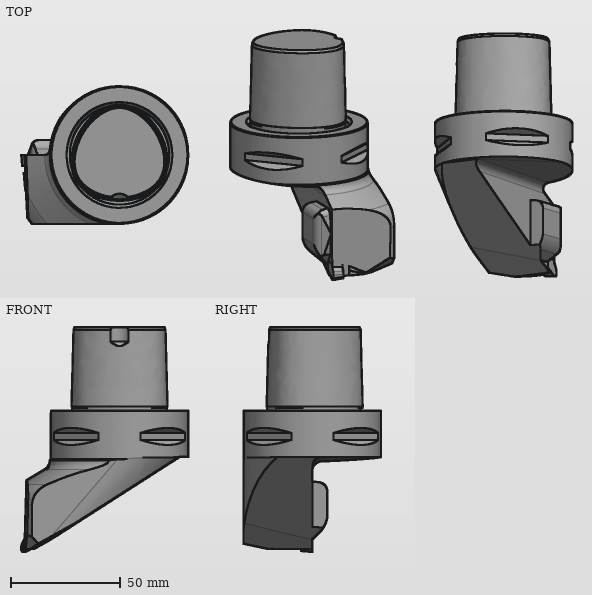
import cadquery as cq
import math

BIG = 206.0
clearance = 1.0
outline_points = 48

shank_height = 38.1
shank_base_size = 44.1
shank_taper = 0.05
lobe_height = 1.0
shank_bevel_height = 1.3
shank_bevel_inset = 0.6
neck_height = 1.9
neck_inset = 0.2
root_diameter = 44.5
root_height = 1.0

notch_diameter = 10.0
notch_wall_y = -17.7
notch_depth = 6.7
notch_floor_slope = 0.8

flange_diameter = 63.0
flange_radius = flange_diameter / 2
flange_height = 21.3
flange_bevel = 0.4
recess_outer_diameter = 48.4
recess_inner_diameter = 45.5
recess_depth = (recess_outer_diameter - recess_inner_diameter) / 2

slot_count = 4
slot_first_angle = 45.0
slot_floor_radius = 28.0
slot_mid_z = -11.9
slot_floor_width = 3.1
slot_flank_slope = 0.68

rim_top_z = -22.4
rim_height = 0.5
rim_step = 0.4
throat_radius = 4.8
cone_angle = 31.0
shoulder_tangent_radius = 45.7
shoulder_round_radius = 10.8
head_bottom_z = -63.5

front_y = -31.6
lean_run = -29.4
lean_drop = -34.3
under_start = (25.8, -22.5)
under_knee = (-31.6, -59.2)
under_toe = (-43.3, -65.7)
main_skew = -0.01
toe_skew = -0.04
end_top = (-42.6, -31.5)
end_bottom = (-43.6, -63.5)
end_skew = -0.04
corner_points = [(-42.1, -28.7, -57.2), (-37.4, -31.6, -60.9), (-42.8, -18.2, -62.2)]

floor_z = -22.5
floor_rise_y = 0.037
floor_tilt_angle = 2.1
floor_round_radius = 4.1

bump_left_x = -41.9
bump_right_x = -22.7
bump_height = 6.9
bump_top_z = -32.4
bump_bottom_z = -59.1
bump_root = 1.0
bump_top_bevel_end = (2.8, -32.9)
bump_top_round = [(5.7, -34.2), (bump_height, -37.6)]
bump_bottom_round_start = (bump_height, -48.9)
bump_bottom_round = [(5.7, -52.5), (3.7, -55.4)]
bump_plan_bevel_end = (-40.4, 4.1)
bump_plan_round = [(-39.0, 6.2), (-37.0, bump_height)]
bump_shoulder_start = (-37.1, bump_top_z)
bump_shoulder_round = [(-39.2, -33.4), (-40.5, -35.5)]
bump_widest_z = -43.6
bump_lower_bevel = [(-40.8, -53.6), (-37.1, bump_bottom_z)]

insert_outline = [(-44.6, -60.9), (-45.0, -62.3), (-45.0, -63.9), (-44.3, -64.9), (-42.7, -64.7),
                  (-37.6, -61.8), (-37.6, -57.7), (-42.4, -57.2)]
insert_thickness = 5.2
insert_clearance = 5.0
ridge_outline = [(-41.2, -59.2), (-43.2, -59.2), (-43.9, -61.1), (-43.9, head_bottom_z),
                 (-41.2, head_bottom_z)]
ridge_near_y = -8.2
ridge_length = 10.3
ridge_fade = 0.9
ridge_drop = 3.1


def shank_outline(size, z):
    """Closed curve of constant width `size` with one lobe toward +Y."""
    def point(t):
        angle = 2 * math.pi * t
        lobe_phase = 3 * (angle - math.pi / 2)
        support = size / 2 + lobe_height * math.cos(lobe_phase)
        turn = -3 * lobe_height * math.sin(lobe_phase)
        return (support * math.cos(angle) - turn * math.sin(angle),
                support * math.sin(angle) + turn * math.cos(angle))
    points = [point(i / outline_points) for i in range(outline_points)]
    return cq.Workplane("XY", origin=(0, 0, z)).spline(points, periodic=True).close().wire().val()


def shank_stage(bottom_size, bottom_z, top_size, top_z):
    """Straight-sided length of shank between two outlines."""
    wires = [shank_outline(bottom_size, bottom_z), shank_outline(top_size, top_z)]
    return cq.Workplane(cq.Solid.makeLoft(wires, True))


def skewed_prism(outline, direction):
    """Push a closed outline along a direction that need not be square to it."""
    face = cq.Face.makeFromWires(outline.wire().val())
    return cq.Workplane(cq.Solid.extrudeLinear(face, cq.Vector(*direction)))


def make_shank():
    """Neck, long taper and top bevel, with the key notch cut in."""
    bevel_z = shank_height - shank_bevel_height
    bevel_size = shank_base_size - shank_taper * bevel_z
    neck_size = shank_base_size - 2 * neck_inset
    trim = (cq.Workplane("XY", origin=(0, 0, -recess_depth))
            .circle(flange_radius).circle(root_diameter / 2).extrude(recess_depth + root_height))
    neck = shank_stage(neck_size, -recess_depth, neck_size, neck_height).cut(trim)
    taper = shank_stage(shank_base_size, neck_height, bevel_size, bevel_z)
    bevel = shank_stage(bevel_size, bevel_z, bevel_size - 2 * shank_bevel_inset, shank_height)
    return neck.union(taper).union(bevel).cut(make_notch())


def make_notch():
    """Vertical round notch with a conical floor."""
    radius = notch_diameter / 2
    floor = shank_height - notch_depth
    top = shank_height + clearance
    profile = [(0, top), (radius, top), (radius, floor), (0, floor - notch_floor_slope * radius)]
    notch = cq.Workplane("XZ").polyline(profile).close().revolve(360, (0, 0), (0, 1))
    return notch.translate((0, notch_wall_y - radius, 0))


def make_flange():
    """Round flange with a conical recess around the root of the shank."""
    flange = (cq.Workplane("XY").circle(flange_radius).extrude(-flange_height)
              .faces(">Z").edges().chamfer(flange_bevel))
    recess = cq.Workplane(cq.Solid.makeCone(recess_inner_diameter / 2, recess_outer_diameter / 2,
                                            recess_depth, cq.Vector(0, 0, -recess_depth)))
    return flange.cut(recess)


def make_slots():
    """Trapezoidal grooves cut square to the radius at equal angles."""
    slots = cq.Workplane()
    depth = flange_radius - slot_floor_radius + clearance
    floor_half = slot_floor_width / 2
    mouth_half = floor_half + depth * slot_flank_slope
    mouth = slot_floor_radius + depth
    profile = [(slot_floor_radius, slot_mid_z - floor_half), (mouth, slot_mid_z - mouth_half),
               (mouth, slot_mid_z + mouth_half), (slot_floor_radius, slot_mid_z + floor_half)]
    slot = cq.Workplane("XZ").polyline(profile).close().extrude(flange_radius, both=True)
    for i in range(slot_count):
        angle = slot_first_angle + i * 360 / slot_count
        slots.add(slot.rotate((0, 0, 0), (0, 0, 1), angle))
    return slots.vals()


def make_blank():
    """Turned body below the flange: rim, concave throat, conical shoulder and outer cylinder."""
    slope = math.radians(cone_angle)
    rim_radius = flange_radius + rim_step
    rim_bottom_z = rim_top_z - rim_height
    sweep = math.pi / 2 - slope
    half = sweep / 2

    def throat_point(angle):
        return (rim_radius + throat_radius * (1 - math.cos(angle)),
                rim_bottom_z - throat_radius * math.sin(angle))

    throat_end = throat_point(sweep)
    round_start_z = throat_end[1] - (shoulder_tangent_radius - throat_end[0]) * math.tan(slope)
    center_r = shoulder_tangent_radius - shoulder_round_radius * math.sin(slope)
    center_z = round_start_z - shoulder_round_radius * math.cos(slope)
    round_mid = (center_r + shoulder_round_radius * math.cos(half),
                 center_z + shoulder_round_radius * math.sin(half))
    outer_radius = center_r + shoulder_round_radius
    profile = (cq.Workplane("XZ").moveTo(0, -flange_height).lineTo(flange_radius, -flange_height)
               .lineTo(flange_radius, rim_top_z).lineTo(rim_radius, rim_bottom_z)
               .threePointArc(throat_point(half), throat_end)
               .lineTo(shoulder_tangent_radius, round_start_z)
               .threePointArc(round_mid, (outer_radius, center_z))
               .lineTo(outer_radius, head_bottom_z).lineTo(0, head_bottom_z).close())
    return profile.revolve(360, (0, 0), (0, 1))


def make_lean_envelope():
    """Half-round leaning prism: flat at the front, and curved on the underside."""
    half_width = -front_y
    outline = (cq.Workplane("XY", origin=(0, 0, -flange_height))
               .moveTo(-BIG, -half_width).lineTo(0, -half_width)
               .threePointArc((half_width, 0), (0, half_width)).lineTo(-BIG, half_width).close())
    steps = (-head_bottom_z - flange_height) / -lean_drop
    return skewed_prism(outline, (lean_run * steps, 0, lean_drop * steps))


def make_underside_cutter(right, left, skew):
    """Everything below the plane through two (X, Z) points, with a sideways tilt."""
    slope = (right[1] - left[1]) / (right[0] - left[0])
    far_right = (BIG, right[1] + slope * (BIG - right[0]))
    far_left = (-BIG, left[1] - slope * (BIG + left[0]))
    outline = cq.Workplane("XZ").polyline([far_right, far_left, (BIG, far_left[1])]).close()
    length = 2 * flange_diameter
    cutter = skewed_prism(outline, (0, length, skew * length))
    return cutter.translate((0, -length / 2, -skew * length / 2))


def make_end_cutter():
    """Everything to the left of the slightly tilted end face."""
    drift = (end_top[0] - end_bottom[0]) / (end_top[1] - end_bottom[1])
    high = (end_top[0] - drift * end_top[1], 0)
    low = (high[0] - drift * BIG, -BIG)
    outline = cq.Workplane("XZ").polyline([high, low, (-BIG, -BIG), (-BIG, 0)]).close()
    length = flange_diameter
    return skewed_prism(outline, (-end_skew * length, -length, 0))


def make_corner_cutter():
    """Half-space outside the bevel on the lower front corner."""
    first, second, third = [cq.Vector(*point) for point in corner_points]
    normal = (second - first).cross(third - first)
    if normal.z > 0:
        normal = -normal
    plane = cq.Plane(origin=first, normal=normal)
    return cq.Workplane(plane).rect(BIG, BIG).extrude(BIG)


def make_rear_cutter():
    """Open space behind the head, with a rounded inner corner under the flange."""
    outline = [(0, floor_z), (BIG, floor_z + floor_rise_y * BIG), (BIG, -BIG), (0, -BIG)]
    space = cq.Workplane("YZ").polyline(outline).close().extrude(BIG, both=True)
    space = space.edges(cq.selectors.NearestToPointSelector((0, 0, floor_z))).fillet(floor_round_radius)
    return space.rotate((0, 0, floor_z), (0, 1, floor_z), -floor_tilt_angle)


def make_bump():
    """Rounded clamp housing on the rear face of the head."""
    side = (cq.Workplane("YZ", origin=(bump_left_x, 0, 0))
            .moveTo(-bump_root, bump_top_z).lineTo(0, bump_top_z).lineTo(*bump_top_bevel_end)
            .threePointArc(*bump_top_round).lineTo(*bump_bottom_round_start)
            .threePointArc(*bump_bottom_round).lineTo(0, bump_bottom_z)
            .lineTo(-bump_root, bump_bottom_z).close().extrude(bump_right_x - bump_left_x))
    plan = (cq.Workplane("XY", origin=(0, 0, bump_bottom_z))
            .moveTo(bump_left_x, -bump_root).lineTo(bump_left_x, 0).lineTo(*bump_plan_bevel_end)
            .threePointArc(*bump_plan_round).lineTo(bump_right_x, bump_height)
            .lineTo(bump_right_x, -bump_root).close().extrude(bump_top_z - bump_bottom_z))
    rear = (cq.Workplane("XZ", origin=(0, -bump_root, 0))
            .moveTo(bump_right_x, bump_top_z).lineTo(*bump_shoulder_start)
            .threePointArc(*bump_shoulder_round).lineTo(bump_left_x, bump_widest_z)
            .lineTo(*bump_lower_bevel[0]).lineTo(*bump_lower_bevel[1])
            .lineTo(bump_right_x, bump_bottom_z).close().extrude(-bump_height - bump_root))
    return side.intersect(plan).intersect(rear)


def make_ridge():
    """Low ridge on the end face that starts beside the insert and fades toward the front."""
    outline = cq.Workplane("XZ", origin=(0, ridge_near_y, 0)).polyline(ridge_outline).close()
    ridge = skewed_prism(outline, (ridge_fade, -ridge_length, -ridge_drop))
    below = cq.Workplane("XY", origin=(0, 0, head_bottom_z)).rect(BIG, BIG).extrude(-BIG)
    return ridge.cut(below)


def make_insert():
    """Thin tapered insert seated flush with the rear face of the head."""
    outline = cq.Workplane("XZ").polyline(insert_outline).close()
    return outline.extrude(insert_thickness, taper=insert_clearance)


def make_holder(seated_insert):
    """Flange, shank and head in one piece, with the insert seat cut out of the tip."""
    head = make_blank().intersect(make_lean_envelope())
    head = head.cut(make_rear_cutter()).union(make_bump())
    head = head.cut(make_underside_cutter(under_start, under_knee, main_skew))
    head = head.cut(make_underside_cutter(under_knee, under_toe, toe_skew))
    head = head.cut(make_end_cutter()).union(make_ridge()).cut(make_corner_cutter())
    holder = make_flange().union(make_shank()).union(head)
    for slot in make_slots():
        holder = holder.cut(cq.Workplane(slot))
    return holder.cut(seated_insert)


insert = make_insert()
holder = make_holder(insert)
result = cq.Compound.makeCompound([holder.val(), insert.val()])